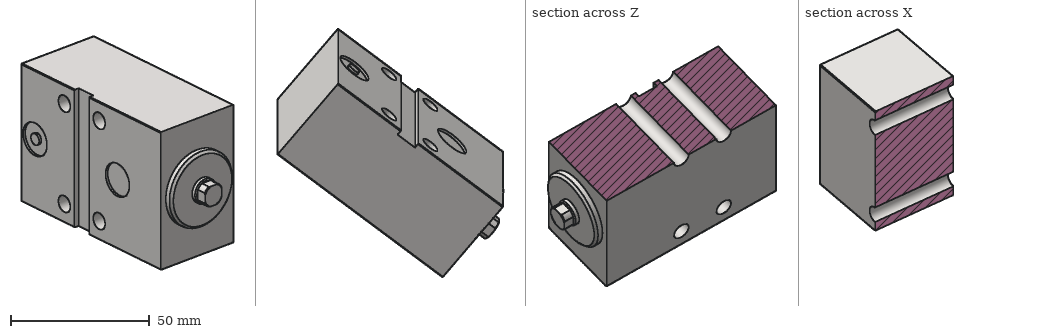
import cadquery as cq


block_length = 76.0
block_depth = 35.0
block_height = 55.0
edge_chamfer = 0.3
mounting_face_y = -block_depth / 2

keyway_center_x = 33.0
keyway_width = 8.0
keyway_depth = 2.0
bolt_hole_diameter = 6.5
bolt_spacing_x = 19.0
bolt_spacing_z = 40.0

port_diameter = 13.0
port_depth = 1.0
rear_port_x = 7.5
front_port_x = 52.5
stub_diameter = 4.5

cover_diameter = 30.0
cover_thickness = 3.0
cover_chamfer = 1.0

rod_diameter = 10.0
rod_length = 9.0
tip_length = 4.0
tip_across_flats = 8.0
tip_corner_diameter = 9.0
shoulder_chamfer = (rod_diameter - tip_corner_diameter) / 2
tip_chamfer = 0.3
shank_length = rod_length - tip_length


def mounting_face_cylinder(x, diameter, depth):
    """Cylinder on the mid-height line, from the mounting face into the block."""
    return (
        cq.Workplane("XZ", origin=(x, mounting_face_y, 0))
        .circle(diameter / 2)
        .extrude(-depth)
    )


def make_housing():
    block = (
        cq.Workplane("XY")
        .box(block_length, block_depth, block_height, centered=(False, True, True))
        .edges("|X")
        .chamfer(edge_chamfer)
    )
    keyway = cq.Workplane("XY").box(keyway_width, 2 * keyway_depth, block_height)
    block = block.cut(keyway.translate((keyway_center_x, mounting_face_y, 0)))

    bolt_holes = (
        cq.Workplane("XZ", origin=(keyway_center_x, mounting_face_y, 0))
        .rarray(bolt_spacing_x, bolt_spacing_z, 2, 2)
        .circle(bolt_hole_diameter / 2)
        .extrude(-block_depth)
    )
    block = block.cut(bolt_holes)

    for port_x in (rear_port_x, front_port_x):
        block = block.cut(mounting_face_cylinder(port_x, port_diameter, port_depth))

    return block.union(mounting_face_cylinder(rear_port_x, stub_diameter, port_depth))


def make_cover():
    disc = (
        cq.Workplane("YZ", origin=(block_length, 0, 0))
        .circle(cover_diameter / 2)
        .extrude(cover_thickness)
        .faces(">X")
        .edges()
        .chamfer(cover_chamfer)
    )
    return disc.faces("<X").workplane().circle(rod_diameter / 2).cutBlind(-cover_thickness)


def make_rod():
    shank = (
        cq.Workplane("YZ", origin=(block_length, 0, 0))
        .circle(rod_diameter / 2)
        .extrude(shank_length)
        .faces(">X")
        .chamfer(shoulder_chamfer)
    )
    tip_start = cq.Workplane("YZ", origin=(block_length + shank_length, 0, 0))
    round_tip = (
        tip_start.circle(tip_corner_diameter / 2)
        .extrude(tip_length)
        .faces(">X")
        .chamfer(tip_chamfer)
    )
    square_tip = tip_start.rect(tip_across_flats, tip_across_flats).extrude(tip_length)
    return shank.union(round_tip.intersect(square_tip))


housing = make_housing()
cover = make_cover()
rod = make_rod()

result = cq.Compound.makeCompound([housing.val(), cover.val(), rod.val()])